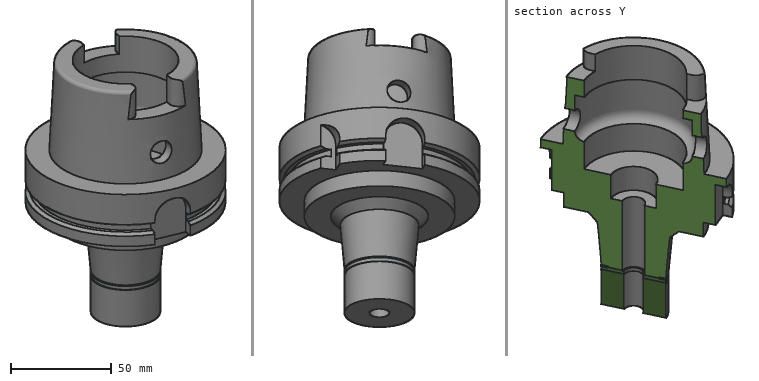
import cadquery as cq
import math

total_height = 140.0
taper_length = 50.0
flange_height = 29.0
face_z = total_height - taper_length
flange_bottom_z = face_z - flange_height
collar_bottom_z = 52.6
neck_top_z = 47.9
neck_bottom_z = 23.2
ring_top_z = 22.5
sleeve_top_z = 20.6

flange_radius = 50.0
taper_base_radius = 38.1
taper_slope = 0.05
collar_radius = 37.5
cone_top_radius = 24.4
neck_top_radius = 19.6
tip_radius = 17.5
spigot_radius = 13.7
taper_top_radius = taper_base_radius - taper_slope * taper_length
top_fillet = 2.0

groove_floor_radius = 45.8
groove_lip_radius = 47.9
groove_center_z = 70.0
groove_floor_half = 2.0
groove_mouth_half = 3.2

bore_radius = 26.5
bore_depth = 20.0
undercut_radius = 31.5
undercut_bottom_z = 94.0
bore_floor_z = 77.8
coolant_port_radius = 12.0
coolant_port_depth = 14.0
holder_passage_radius = 5.9
tip_passage_radius = 5.0

slot_width = 20.0
slot_corner_radius = 5.0
slot_flat_x = 32.5
slot_depth_left = 10.0
slot_depth_right = 15.0
cross_hole_radius = 6.0
cross_hole_z = 105.0
notch_width = 20.2
notch_top_z = face_z - 5.2
notch_floor_x = 44.0
side_notch_y = 41.3
side_notch_floor_x = 31.4

joint_chamfer = 0.21


def revolve_profile(points):
    """Revolve a closed (radius, z) outline about the Z axis."""
    return cq.Workplane("YZ").polyline(points).close().revolve(360, (0, 0), (0, 1))


def cylinder(radius, bottom_z, top_z):
    return cq.Workplane("XY").workplane(offset=bottom_z).circle(radius).extrude(top_z - bottom_z)


def holder_blank():
    blank = revolve_profile([
        (0, ring_top_z),
        (spigot_radius, ring_top_z),
        (spigot_radius, neck_bottom_z),
        (tip_radius, neck_bottom_z),
        (neck_top_radius, neck_top_z),
        (cone_top_radius, collar_bottom_z),
        (collar_radius, collar_bottom_z),
        (collar_radius, flange_bottom_z),
        (flange_radius, flange_bottom_z),
        (flange_radius, groove_center_z - groove_mouth_half),
        (groove_lip_radius, groove_center_z - groove_floor_half),
        (groove_floor_radius, groove_center_z - groove_floor_half),
        (groove_floor_radius, groove_center_z + groove_floor_half),
        (groove_lip_radius, groove_center_z + groove_floor_half),
        (flange_radius, groove_center_z + groove_mouth_half),
        (flange_radius, face_z),
        (taper_base_radius, face_z),
        (taper_top_radius, total_height),
        (0, total_height),
    ])
    return blank.faces(">Z").edges().fillet(top_fillet)


def holder_cavity():
    """Clamping bore with its round-bottomed undercut, the coolant port and the passage below."""
    port_floor_z = bore_floor_z - coolant_port_depth
    passage = revolve_profile([
        (0, total_height),
        (bore_radius, total_height),
        (bore_radius, bore_floor_z),
        (coolant_port_radius, bore_floor_z),
        (coolant_port_radius, port_floor_z),
        (holder_passage_radius, port_floor_z),
        (holder_passage_radius, ring_top_z),
        (0, ring_top_z),
    ])
    undercut = cylinder(undercut_radius, undercut_bottom_z, total_height - bore_depth)
    undercut = undercut.faces("<Z").edges().fillet(undercut_radius - bore_radius)
    return passage.union(undercut)


def drive_slot(depth, side):
    """Slot through one taper wall; its mouth is rounded out to a flat. side is +1 or -1 along X."""
    half = slot_width / 2
    r = slot_corner_radius
    mid = r * math.sqrt(0.5)
    round_start_x = slot_flat_x - r
    outer = flange_radius
    outline = (
        cq.Workplane("XY").workplane(offset=total_height - depth)
        .moveTo(0, -half)
        .lineTo(side * round_start_x, -half)
        .threePointArc((side * (round_start_x + mid), -half - r + mid), (side * slot_flat_x, -half - r))
        .lineTo(side * slot_flat_x, -outer)
        .lineTo(side * outer, -outer)
        .lineTo(side * outer, outer)
        .lineTo(side * slot_flat_x, outer)
        .lineTo(side * slot_flat_x, half + r)
        .threePointArc((side * (round_start_x + mid), half + r - mid), (side * round_start_x, half))
        .lineTo(0, half)
        .close()
    )
    return outline.extrude(depth)


def flange_notch(center_y, floor_x, side):
    """Round-topped notch in the flange, open below, with a flat floor facing side along X."""
    half = notch_width / 2
    arch_z = notch_top_z - half
    outline = (
        cq.Workplane("YZ").workplane(offset=side * floor_x)
        .moveTo(center_y - half, flange_bottom_z)
        .lineTo(center_y - half, arch_z)
        .threePointArc((center_y, notch_top_z), (center_y + half, arch_z))
        .lineTo(center_y + half, flange_bottom_z)
        .close()
    )
    return outline.extrude(side * (flange_radius - floor_x))


def make_holder():
    body = holder_blank().cut(holder_cavity())
    body = body.cut(drive_slot(slot_depth_left, -1))
    body = body.cut(drive_slot(slot_depth_right, 1))
    cross_hole = (
        cq.Workplane("YZ").center(0, cross_hole_z).circle(cross_hole_radius)
        .extrude(flange_radius, both=True)
    )
    body = body.cut(cross_hole)
    for side in (-1, 1):
        body = body.cut(flange_notch(0, notch_floor_x, side))
    return body.cut(flange_notch(side_notch_y, side_notch_floor_x, -1))


def make_spacer_ring():
    ring = cylinder(tip_radius, sleeve_top_z, ring_top_z)
    return ring.cut(cylinder(tip_passage_radius, sleeve_top_z, ring_top_z))


def make_tip_sleeve():
    sleeve = cylinder(tip_radius, 0, sleeve_top_z).faces(">Z").edges().chamfer(joint_chamfer)
    return sleeve.cut(cylinder(tip_passage_radius, 0, sleeve_top_z))


holder = make_holder()
spacer_ring = make_spacer_ring()
tip_sleeve = make_tip_sleeve()

result = cq.Compound.makeCompound([holder.val(), spacer_ring.val(), tip_sleeve.val()])